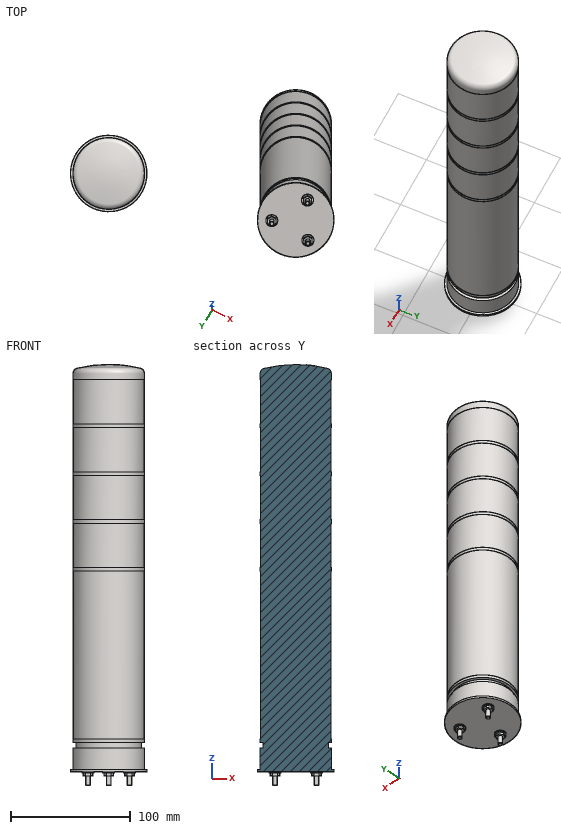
import math

import cadquery as cq

flange_radius = 32.0
flange_thickness = 2.0
body_radius = 30.0
socket_top = 20.0
neck_radius = 27.5
neck_top = 24.5

joint_height = 3.0
shell_radius = 29.75
first_joint_bottom = 167.7
module_pitch = 40.0
module_count = 4
cap_bottom = first_joint_bottom + module_count * module_pitch

tower_height = 340.5
dome_radius = 110.0
rim_radius = 5.0

stud_count = 3
stud_circle_radius = 20.0
first_stud_angle = -90.0
stud_diameter = 4.0
stud_length = 11.5
stud_tip_chamfer = 0.5
washer_diameter = 10.0
washer_thickness = 1.0
nut_across_flats = 7.0
nut_height = 2.3


def cylinder(radius, bottom, top):
    """Disc centred on the Z axis between two heights."""
    return cq.Workplane("XY").workplane(offset=bottom).circle(radius).extrude(top - bottom)


def domed_cap():
    """Cap whose rim arc is tangent to both its side wall and its spherical top."""
    dome_center_z = tower_height - dome_radius
    rim_center_x = body_radius - rim_radius
    rim_angle = math.asin(rim_center_x / (dome_radius - rim_radius))
    rim_center_z = dome_center_z + (dome_radius - rim_radius) * math.cos(rim_angle)

    def dome_point(angle):
        return dome_radius * math.sin(angle), dome_center_z + dome_radius * math.cos(angle)

    rim_mid_angle = (rim_angle + math.pi / 2) / 2
    rim_mid = (
        rim_center_x + rim_radius * math.sin(rim_mid_angle),
        rim_center_z + rim_radius * math.cos(rim_mid_angle),
    )
    return (
        cq.Workplane("XZ")
        .moveTo(0, cap_bottom)
        .lineTo(body_radius, cap_bottom)
        .lineTo(body_radius, rim_center_z)
        .threePointArc(rim_mid, dome_point(rim_angle))
        .threePointArc(dome_point(rim_angle / 2), (0, tower_height))
        .close()
        .revolve(360, (0, 0), (0, 1))
    )


def base():
    """Flange, socket and the narrower neck that carries the tower."""
    flange = cylinder(flange_radius, 0, flange_thickness)
    socket = cylinder(body_radius, flange_thickness, socket_top)
    neck = cylinder(neck_radius, socket_top, neck_top)
    return flange.union(socket).union(neck)


def tower():
    """Tall body and lens modules, each resting on a slightly wider joint ring."""
    joint_bottoms = [neck_top]
    for index in range(module_count):
        joint_bottoms.append(first_joint_bottom + index * module_pitch)
    segment_tops = joint_bottoms[1:] + [cap_bottom]

    stack = domed_cap()
    for joint_bottom, segment_top in zip(joint_bottoms, segment_tops):
        joint_top = joint_bottom + joint_height
        stack = stack.union(cylinder(body_radius, joint_bottom, joint_top))
        stack = stack.union(cylinder(shell_radius, joint_top, segment_top))
    return stack


def mounting_stud():
    """Stud on the Z axis hanging below the flange, with its washer and nut."""
    nut_across_corners = nut_across_flats / math.cos(math.pi / 6)
    stud = cylinder(stud_diameter / 2, -stud_length, 0).faces("<Z").chamfer(stud_tip_chamfer)
    washer = cylinder(washer_diameter / 2, -washer_thickness, 0)
    nut = (
        cq.Workplane("XY")
        .workplane(offset=-washer_thickness - nut_height)
        .polygon(6, nut_across_corners)
        .extrude(nut_height)
    )
    return stud.union(washer).union(nut)


result = base().union(tower())
for index in range(stud_count):
    angle = math.radians(first_stud_angle + index * 360 / stud_count)
    stud_x = stud_circle_radius * math.cos(angle)
    stud_y = stud_circle_radius * math.sin(angle)
    result = result.union(mounting_stud().translate((stud_x, stud_y, 0)))